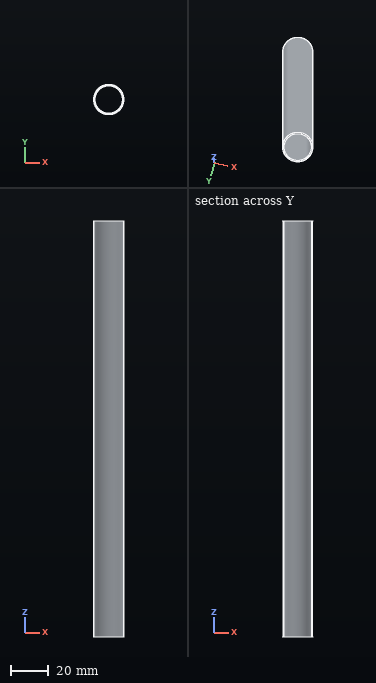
import cadquery as cq

length = 220.0
outer_diameter = 16.0
wall_thickness = 0.8
inner_diameter = outer_diameter - 2 * wall_thickness

result = (
    cq.Workplane("XY")
    .circle(outer_diameter / 2)
    .circle(inner_diameter / 2)
    .extrude(length)
)